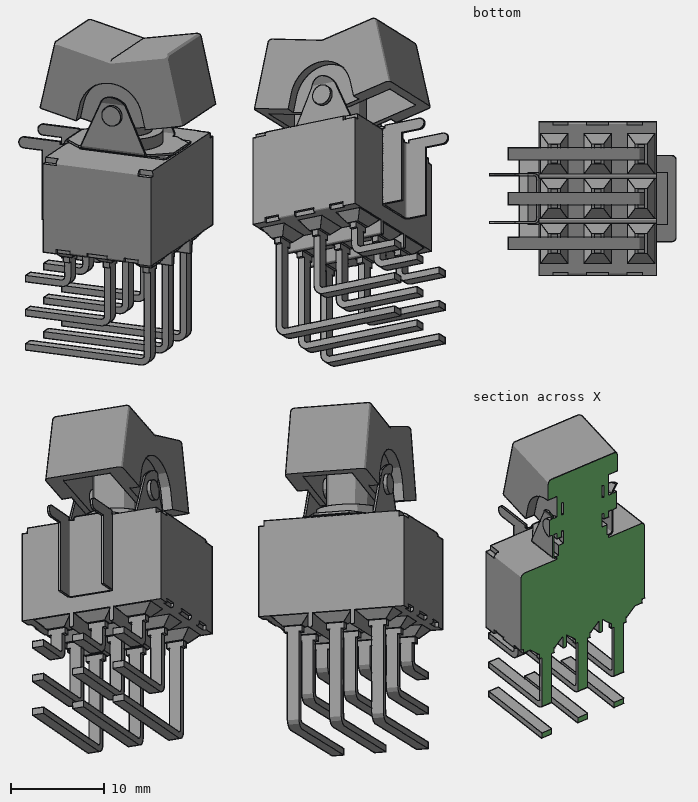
import cadquery as cq
import math


housing_x = 12.6
housing_y = 16.5
housing_z = 10.5
end_panel_x = 9.6
end_rim = 0.6
side_taper = 0.07
slot_height = 0.5
slot_depth = 0.35
middle_slot_x = 2.35
outer_slot_x = 1.65
panel_bottom_round = 0.3

column_pitch = 4.65
row_pitch = 4.8
columns = (-1, 0, 1)
rows = (-1, 0, 1)
seal_top = (2.92, 4.3)
seal_bottom = (1.32, 2.15)
seal_height = 1.0
leg_thickness = 0.73
leg_width = 1.32
shoulder_width = 2.0
shoulder_z = -1.65
leg_tip_x = -9.6
leg_bottom = -12.15
leg_spacing_z = 3.82
leg_inner_bend = 0.4

fin_y = 2.4
fin_thickness = 0.5
fin_depth = 1.55
fin_round = 0.17

bracket_top = 10.9
sheet = 0.25
inner_bend = 0.25
outer_bend = inner_bend + sheet
inner_mid = inner_bend * math.sqrt(0.5)
outer_mid = outer_bend * math.sqrt(0.5)
plate_front_x = -6.3
plate_back_x = 6.22
plate_corner_run = 2.05
neck_half_y = 1.98
upright_outer_y = 4.05
upright_foot_x = 3.7
tip_radius = 1.6
tip_top = 17.05
flare_z = 16.2
flare_out = 0.52
flare_bend = 0.5
base_half_y = 3.47
base_front_x = -5.52
base_back_x = 5.95
base_back_chamfer = 0.25
strap_half_y = 2.67
strap_bottom = 1.77
prong_tip_x = -11.6
prong_post_x = -8.85
finger_height = 1.2
finger_top = 10.75

flange_diameter = 7.55
flange_y = 6.45
flange_top = 12.23
bushing_diameter = 5.2

pivot_z = 14.95
pivot_diameter = 2.2
pivot_half_length = 4.48
rocker_y = 9.25
rocker_half_x = 8.4
rocker_valley_z = 21.25
rocker_corner_z = 14.9
rocker_tilt = math.radians(12)
rocker_side_lean = math.radians(13)
rocker_round = 0.5
cheek_half_y = 3.47
recess_radius = 3.7
cavity_half_x = 7.47
cavity_y = 5.55


def block(x0, x1, y0, y1, z0, z1):
    """Axis-aligned box between opposite corners."""
    return cq.Workplane("XY").box(x1 - x0, y1 - y0, z1 - z0, centered=False).translate((x0, y0, z0))


def side_profile():
    """Sketch plane at Y = 0 with local axes X and Z."""
    return cq.Workplane("XZ")


def mirrored_in_y(shape):
    return shape.union(shape.mirror("XZ"))


def make_housing():
    half_x = housing_x / 2
    half_y = housing_y / 2
    panel_half = end_panel_x / 2
    rim_z = housing_z - end_rim
    top_half_x = half_x - side_taper
    outline = [
        (-half_x, 0), (half_x, 0), (half_x, rim_z),
        (top_half_x, housing_z), (-top_half_x, housing_z), (-half_x, rim_z),
    ]
    core = side_profile().polyline(outline).close().extrude(half_y - end_rim, both=True)
    corners = block(-half_x, half_x, -half_y, half_y, 0, rim_z)
    panels = block(-panel_half, panel_half, -half_y, half_y, 0, housing_z)
    panels = panels.faces(">Z").edges("|X").fillet(end_rim)
    housing = core.union(corners).union(panels)

    rounded_panel = block(-panel_half, panel_half, -half_y, half_y, 0, housing_z)
    rounded_panel = rounded_panel.faces("<Z").edges("|X").fillet(panel_bottom_round)
    lower_edge = block(
        -panel_half, panel_half, -half_y, panel_bottom_round - half_y, 0, panel_bottom_round
    )
    housing = housing.cut(mirrored_in_y(lower_edge.cut(rounded_panel)))
    slots = (
        (-panel_half, outer_slot_x),
        (-middle_slot_x / 2, middle_slot_x),
        (panel_half - outer_slot_x, outer_slot_x),
    )
    for start_x, width in slots:
        slot = block(start_x, start_x + width, -half_y, slot_depth - half_y, 0, slot_height)
        housing = housing.cut(mirrored_in_y(slot))
    return housing


def make_fins():
    fin = block(
        -housing_x / 2, housing_x / 2,
        fin_y - fin_thickness / 2, fin_y + fin_thickness / 2,
        -fin_depth, 0,
    )
    return mirrored_in_y(fin.faces("<Z").edges("|X").fillet(fin_round))


def make_leg(column):
    """Bent leg: down from the housing, then toward -X; farther columns reach lower."""
    half = leg_thickness / 2
    centre_x = column * column_pitch
    bottom = leg_bottom + (max(columns) - column) * leg_spacing_z
    outline = [
        (centre_x - half, 0), (centre_x + half, 0), (centre_x + half, bottom),
        (leg_tip_x, bottom), (leg_tip_x, bottom + leg_thickness),
        (centre_x - half, bottom + leg_thickness),
    ]
    leg = side_profile().polyline(outline).close().extrude(leg_width / 2, both=True)
    inner_corner = cq.selectors.NearestToPointSelector((centre_x - half, 0, bottom + leg_thickness))
    outer_corner = cq.selectors.NearestToPointSelector((centre_x + half, 0, bottom))
    leg = leg.edges(inner_corner).fillet(leg_inner_bend)
    leg = leg.edges(outer_corner).fillet(leg_inner_bend + leg_thickness)
    shoulder = block(
        centre_x - half, centre_x + half, -shoulder_width / 2, shoulder_width / 2, shoulder_z, 0
    )
    seal = (
        cq.Workplane("XY").center(centre_x, 0).rect(*seal_top)
        .workplane(offset=-seal_height).rect(*seal_bottom).loft(ruled=True)
    )
    return leg.union(shoulder).union(seal)


def make_plate(front_x, front_run, back_x, back_run, back_neck, half_y, z0, z1):
    """Flat plate whose corners are cut off; each run is the length in X of a corner cut."""
    half = [
        (front_x, neck_half_y), (front_x + front_run, half_y),
        (back_x - back_run, half_y), (back_x, back_neck),
    ]
    other_half = [(x, -y) for x, y in reversed(half)]
    return cq.Workplane("XY").workplane(offset=z0).polyline(half + other_half).close().extrude(z1 - z0)


def make_upright():
    """Upright on the -Y side: bent foot, flat web and flared round tip."""
    outer = -upright_outer_y
    bend_y = outer + outer_bend
    foot_z = bracket_top - sheet
    bend_z = foot_z + outer_bend
    section = (
        cq.Workplane("YZ")
        .moveTo(bend_y, foot_z)
        .threePointArc((bend_y - outer_mid, bend_z - outer_mid), (outer, bend_z))
        .lineTo(outer, flare_z)
        .lineTo(outer - flare_out, tip_top)
        .lineTo(outer - flare_out + sheet, tip_top)
        .lineTo(outer + sheet, flare_z)
        .lineTo(outer + sheet, bend_z)
        .threePointArc((bend_y - inner_mid, bend_z - inner_mid), (bend_y, bracket_top))
        .close()
        .extrude(upright_foot_x, both=True)
    )
    concave_edge = cq.selectors.NearestToPointSelector((0, outer, flare_z))
    convex_edge = cq.selectors.NearestToPointSelector((0, outer + sheet, flare_z))
    section = section.edges(concave_edge).fillet(flare_bend)
    section = section.edges(convex_edge).fillet(flare_bend + sheet)
    tip_z = tip_top - tip_radius
    rise = tip_z - bend_z
    reach = math.hypot(upright_foot_x, rise)
    tangent = math.acos(tip_radius / reach) - math.atan2(rise, upright_foot_x)
    tangent_x = tip_radius * math.cos(tangent)
    tangent_z = tip_z + tip_radius * math.sin(tangent)
    outline = (
        side_profile()
        .moveTo(-upright_foot_x, foot_z)
        .lineTo(upright_foot_x, foot_z)
        .lineTo(upright_foot_x, bend_z)
        .lineTo(tangent_x, tangent_z)
        .threePointArc((0, tip_top), (-tangent_x, tangent_z))
        .lineTo(-upright_foot_x, bend_z)
        .close()
        .extrude(housing_y / 2)
    )
    return section.intersect(outline)


def make_strap():
    """Strap down the -X side, bent over the top edge, with two prongs bent toward -X."""
    back_x = -housing_x / 2
    front_x = back_x - sheet
    bend_z = bracket_top - outer_bend
    prong_x = back_x - outer_bend
    strap = block(prong_post_x, back_x, -strap_half_y, strap_half_y, strap_bottom, bend_z)
    strap = strap.edges("|Z and >X").fillet(outer_bend)
    inside_half_y = strap_half_y - sheet
    hollow = block(prong_post_x, front_x, -inside_half_y, inside_half_y, strap_bottom, bend_z)
    strap = strap.cut(hollow.edges("|Z and >X").fillet(inner_bend))

    bend_x = front_x + outer_bend
    bend = (
        side_profile()
        .moveTo(front_x, bend_z)
        .threePointArc((bend_x - outer_mid, bend_z + outer_mid), (bend_x, bracket_top))
        .lineTo(bend_x, bend_z)
        .close()
        .extrude(neck_half_y, both=True)
    )

    tip_centre_x = prong_tip_x + finger_height / 2
    finger_bottom = finger_top - finger_height
    finger = (
        side_profile().workplane(offset=inside_half_y)
        .moveTo(prong_x, finger_bottom)
        .lineTo(prong_x, finger_top)
        .lineTo(tip_centre_x, finger_top)
        .threePointArc((prong_tip_x, finger_top - finger_height / 2), (tip_centre_x, finger_bottom))
        .close()
        .extrude(sheet)
    )
    return strap.union(bend).union(mirrored_in_y(finger))


def make_bracket():
    plate_z = bracket_top - sheet
    plate_half_y = upright_outer_y - outer_bend
    base = make_plate(
        base_front_x, base_half_y - neck_half_y,
        base_back_x, base_back_chamfer, base_half_y - base_back_chamfer,
        base_half_y, housing_z, plate_z,
    )
    plate = make_plate(
        plate_front_x, plate_corner_run,
        plate_back_x, plate_corner_run, neck_half_y,
        plate_half_y, plate_z, bracket_top,
    )
    return base.union(plate).union(mirrored_in_y(make_upright())).union(make_strap())


def make_bushing(top_z):
    flange = cq.Workplane("XY").circle(flange_diameter / 2).extrude(flange_top)
    flats = block(
        -flange_diameter, flange_diameter, -flange_y / 2, flange_y / 2, housing_z, flange_top
    )
    barrel = cq.Workplane("XY").workplane(offset=housing_z)
    barrel = barrel.circle(bushing_diameter / 2).extrude(top_z - housing_z)
    return flange.intersect(flats).union(barrel)


def make_rocker(cavity_top):
    slope = math.tan(rocker_tilt)
    lean = math.tan(rocker_side_lean)
    keel_z = rocker_corner_z - rocker_half_x * slope
    corner_rise = rocker_valley_z - rocker_corner_z + rocker_half_x * slope
    corner_height = corner_rise / (1 + slope * lean)
    corner = (-rocker_half_x + lean * corner_height, rocker_corner_z + corner_height)
    outline = [(0, keel_z), (0, rocker_valley_z), corner, (-rocker_half_x, rocker_corner_z)]
    half = side_profile().polyline(outline).close().extrude(rocker_y / 2, both=True)
    top_and_end = half.faces(">Z").edges("not(>X)").add(half.faces("<X").edges("not(<Z)"))
    half = top_and_end.fillet(rocker_round)
    rocker = half.union(half.mirror("YZ"))

    arc_x = recess_radius * math.cos(rocker_side_lean)
    arc_z = pivot_z + recess_radius * math.sin(rocker_side_lean)
    foot_x = arc_x + lean * (arc_z - keel_z)
    recess = (
        side_profile().workplane(offset=cheek_half_y)
        .moveTo(-foot_x, keel_z)
        .lineTo(-arc_x, arc_z)
        .threePointArc((0, pivot_z + recess_radius), (arc_x, arc_z))
        .lineTo(foot_x, keel_z)
        .close()
        .extrude(rocker_y / 2 - cheek_half_y)
    )
    cavity = block(-cavity_half_x, cavity_half_x, -cavity_y / 2, cavity_y / 2, keel_z, cavity_top)
    return rocker.cut(mirrored_in_y(recess)).cut(cavity)


housing = make_housing().union(make_fins())
for row in rows:
    for column in columns:
        housing = housing.union(make_leg(column).translate((0, row * row_pitch, 0)))

cavity_top = pivot_z + bushing_diameter / 2
pivot = side_profile().workplane(offset=-pivot_half_length)
pivot = pivot.circle(pivot_diameter / 2).extrude(2 * pivot_half_length).translate((0, 0, pivot_z))

result = (
    housing
    .union(make_bracket())
    .union(make_bushing(cavity_top))
    .union(make_rocker(cavity_top))
    .union(pivot)
)